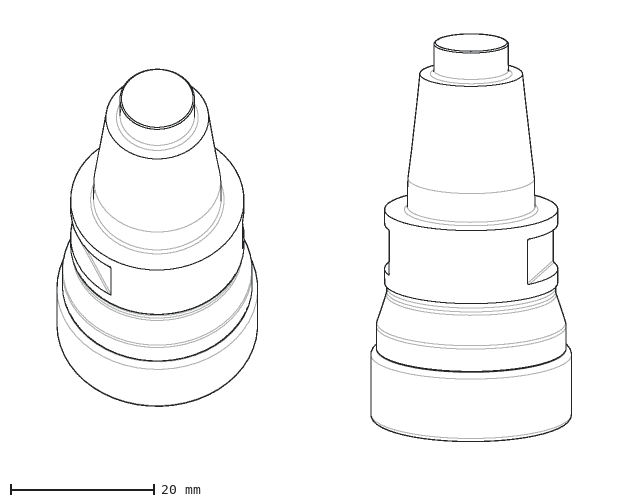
import cadquery as cq
import math

cap_height = 9.9
cone_bottom_z = 13.5
neck_bottom_z = 18.0
neck_fillet_z = 18.8
collar_bottom_z = 19.5
collar_top_z = 30.0
taper_bottom_z = 34.5
taper_top_z = 49.5
total_height = 54.0

cap_radius = 28.02 / 2
base_radius = 26.5 / 2
neck_radius = 23.6 / 2
collar_radius = 24.2 / 2
root_radius = 17.82 / 2
taper_bottom_radius = 17.66 / 2
root_bulge = 0.04
taper_top_radius = 14.35 / 2
pin_radius = 10.4 / 2

cap_top_fillet = cap_radius - base_radius
cap_bottom_fillet = 0.6
base_chamfer = 0.15
cone_blend = 1.5
root_fillet = 0.4
pin_fillet = 0.5
pin_chamfer = 0.2

flat_distance = 10.0
flat_bottom_z = 21.5
flat_top_z = 28.0
flat_fillet = 0.2


def blend_length(turn_angle):
    """Distance from a corner to the tangent points of the cone blend arc."""
    return cone_blend * math.tan(turn_angle / 2)


def make_cap():
    """Disc with rounded rims; the top rounding starts at the wall of the body."""
    blank = cq.Workplane("XY").circle(cap_radius).extrude(cap_height)
    blank = blank.faces(">Z").edges().fillet(cap_top_fillet)
    return blank.faces("<Z").edges().fillet(cap_bottom_fillet)


def make_turned_body():
    """Stepped and tapered shaft, revolved about Z."""
    slope = math.atan2(base_radius - neck_radius, neck_bottom_z - cone_bottom_z)
    setback = blend_length(slope)
    setback_r = setback * math.sin(slope)
    setback_z = setback * math.cos(slope)
    arc_rise = cone_blend * (1 - math.cos(slope / 2))
    arc_run = cone_blend * math.sin(slope / 2)

    step = collar_radius - neck_radius
    rise = collar_bottom_z - neck_fillet_z
    undercut_radius = (step**2 + rise**2) / (2 * step)
    undercut_half_angle = math.atan2(step, rise)
    undercut_mid = (
        neck_radius + undercut_radius * (1 - math.cos(undercut_half_angle)),
        neck_fillet_z + undercut_radius * math.sin(undercut_half_angle),
    )

    root_arc_mid = (
        (root_radius + taper_bottom_radius) / 2 + root_bulge,
        (collar_top_z + root_fillet + taper_bottom_z) / 2,
    )

    mid_offset = 1 - math.sqrt(0.5)

    profile = (
        cq.Workplane("XZ")
        .moveTo(0, cap_height)
        .lineTo(base_radius - base_chamfer, cap_height)
        .lineTo(base_radius, cap_height + base_chamfer)
        .lineTo(base_radius, cone_bottom_z - setback)
        .threePointArc(
            (base_radius - arc_rise, cone_bottom_z - setback + arc_run),
            (base_radius - setback_r, cone_bottom_z + setback_z),
        )
        .lineTo(neck_radius + setback_r, neck_bottom_z - setback_z)
        .threePointArc(
            (neck_radius + arc_rise, neck_bottom_z + setback - arc_run),
            (neck_radius, neck_bottom_z + setback),
        )
        .lineTo(neck_radius, neck_fillet_z)
        .threePointArc(undercut_mid, (collar_radius, collar_bottom_z))
        .lineTo(collar_radius, collar_top_z)
        .lineTo(root_radius + root_fillet, collar_top_z)
        .threePointArc(
            (root_radius + mid_offset * root_fillet, collar_top_z + mid_offset * root_fillet),
            (root_radius, collar_top_z + root_fillet),
        )
        .threePointArc(root_arc_mid, (taper_bottom_radius, taper_bottom_z))
        .lineTo(taper_top_radius, taper_top_z)
        .lineTo(pin_radius + pin_fillet, taper_top_z)
        .threePointArc(
            (pin_radius + mid_offset * pin_fillet, taper_top_z + mid_offset * pin_fillet),
            (pin_radius, taper_top_z + pin_fillet),
        )
        .lineTo(pin_radius, total_height - pin_chamfer)
        .lineTo(pin_radius - pin_chamfer, total_height)
        .lineTo(0, total_height)
        .close()
    )
    return profile.revolve(360, (0, 0), (0, 1))


def make_flat_cutter(side):
    """Block that mills one wrench flat; side is +1 or -1 along Y."""
    depth = 2 * (collar_radius - flat_distance)
    flat_height = flat_top_z - flat_bottom_z
    center_y = side * (flat_distance + depth / 2)
    center_z = (flat_bottom_z + flat_top_z) / 2
    block = cq.Workplane("XY").box(2 * collar_radius, depth, flat_height)
    inner_face = "<Y" if side > 0 else ">Y"
    block = block.faces(inner_face).edges("|X").fillet(flat_fillet)
    return block.translate((0, center_y, center_z))


cap = make_cap()

body = make_turned_body()
for side in (-1, 1):
    body = body.cut(make_flat_cutter(side))

result = cq.Compound.makeCompound([cap.val(), body.val()])